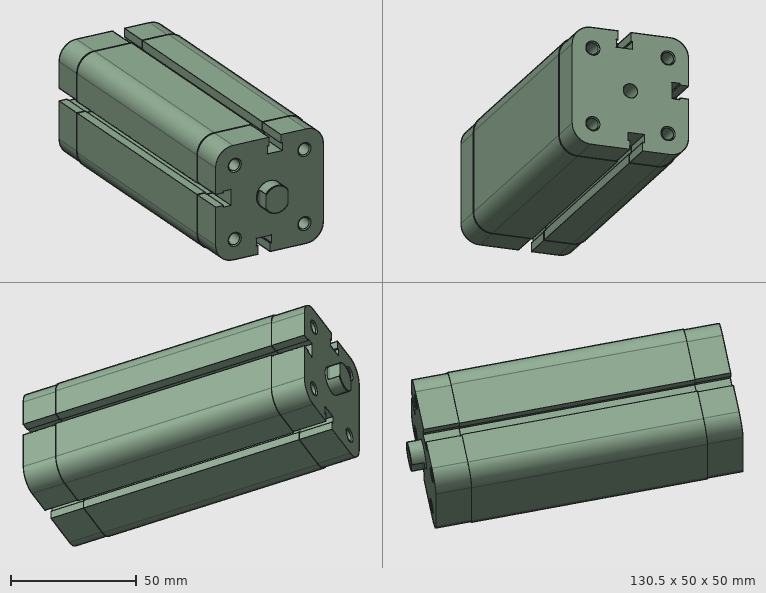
import cadquery as cq

TOTAL_LENGTH = 130.5
ROD_PROTRUSION = 6.0
CAP_LENGTH = 14.5
BARREL_WIDTH = 50.0
CAP_INSET = 0.25
CORNER_RADIUS = 8.0

SLOT_OFFSET = 2.5
SLOT_MOUTH_WIDTH = 5.0
SLOT_INNER_WIDTH = 6.4
SLOT_LIP_DEPTH = 3.9
SLOT_DEPTH = 7.0
CAP_SLOT_CLEARANCE = 0.25
SLOT_TURNS = (0, 90, 180)

SCREW_SPACING = 32.0
SCREW_HOLE_DIAMETER = 5.0
SCREW_HOLE_CHAMFER = 0.5
REAR_HOLE_DIAMETER = 6.0

ROD_DIAMETER = 12.0
ROD_ACROSS_FLATS = 10.0
ROD_CHAMFER = 0.3
COLLAR_LENGTH = 0.8
FLAT_FILLET = 0.4

BODY_LENGTH = TOTAL_LENGTH - ROD_PROTRUSION
BARREL_START = CAP_LENGTH
FRONT_CAP_START = BODY_LENGTH - CAP_LENGTH
BARREL_LENGTH = FRONT_CAP_START - BARREL_START
CAP_WIDTH = BARREL_WIDTH - 2 * CAP_INSET


def end_plane(x):
    """Sketch plane facing +X at the given X; its local axes are Y and Z."""
    return cq.Workplane("YZ", origin=(x, 0, 0))


def slot_cutter(x, length, clearance):
    """T-slot in the top side; the clearance widens it and lowers its floor."""
    top = BARREL_WIDTH / 2
    floor = top - SLOT_DEPTH - clearance
    lip = top - SLOT_LIP_DEPTH
    mouth_half = SLOT_MOUTH_WIDTH / 2 + clearance
    inner_half = SLOT_INNER_WIDTH / 2 + clearance
    outline = [
        (SLOT_OFFSET - mouth_half, top),
        (SLOT_OFFSET - mouth_half, lip),
        (SLOT_OFFSET - inner_half, lip),
        (SLOT_OFFSET - inner_half, floor),
        (SLOT_OFFSET + inner_half, floor),
        (SLOT_OFFSET + inner_half, lip),
        (SLOT_OFFSET + mouth_half, lip),
        (SLOT_OFFSET + mouth_half, top),
    ]
    return end_plane(x).polyline(outline).close().extrude(length)


def slotted_block(x, length, width, clearance):
    """Rounded square block with the T-slots and the four screw holes."""
    block = end_plane(x).rect(width, width).extrude(length).edges("|X").fillet(CORNER_RADIUS)
    cutter = slot_cutter(x, length, clearance)
    for turn in SLOT_TURNS:
        block = block.cut(cutter.rotate((0, 0, 0), (1, 0, 0), turn))
    screw_holes = (
        end_plane(x)
        .rect(SCREW_SPACING, SCREW_SPACING, forConstruction=True)
        .vertices()
        .circle(SCREW_HOLE_DIAMETER / 2)
        .extrude(length)
    )
    return block.cut(screw_holes)


def screw_hole_chamfers(x, outward):
    """Countersinks at the cap's outer face at x; outward is -1 or +1 along X."""
    mouth_radius = SCREW_HOLE_DIAMETER / 2 + SCREW_HOLE_CHAMFER
    half_spacing = SCREW_SPACING / 2
    cones = cq.Workplane()
    for y in (-half_spacing, half_spacing):
        for z in (-half_spacing, half_spacing):
            cone = cq.Solid.makeCone(
                mouth_radius,
                mouth_radius - SCREW_HOLE_CHAMFER,
                SCREW_HOLE_CHAMFER,
                pnt=cq.Vector(x, y, z),
                dir=cq.Vector(-outward, 0, 0),
            )
            cones = cones.add(cone)
    return cones.combine()


def make_barrel():
    """Profiled barrel between the two caps."""
    return slotted_block(BARREL_START, BARREL_LENGTH, BARREL_WIDTH, 0)


def make_rear_cap():
    """Rear cap with a central hole that ends at the barrel."""
    cap = slotted_block(0, CAP_LENGTH, CAP_WIDTH, CAP_SLOT_CLEARANCE)
    cap = cap.cut(screw_hole_chamfers(0, -1))
    return cap.cut(end_plane(0).circle(REAR_HOLE_DIAMETER / 2).extrude(CAP_LENGTH))


def make_front_cap():
    """Front cap with a central bore for the rod."""
    cap = slotted_block(FRONT_CAP_START, CAP_LENGTH, CAP_WIDTH, CAP_SLOT_CLEARANCE)
    cap = cap.cut(screw_hole_chamfers(BODY_LENGTH, 1))
    return cap.cut(end_plane(FRONT_CAP_START).circle(ROD_DIAMETER / 2).extrude(CAP_LENGTH))


def make_rod():
    """Rod from the barrel face out through the front cap, with flats on its -Y and +Y sides."""
    rod = end_plane(FRONT_CAP_START).circle(ROD_DIAMETER / 2).extrude(TOTAL_LENGTH - FRONT_CAP_START)
    rod = rod.faces(">X").chamfer(ROD_CHAMFER)
    flats_start = BODY_LENGTH + COLLAR_LENGTH
    for side in (-1, 1):
        cutter = (
            cq.Workplane("XY")
            .box(TOTAL_LENGTH - flats_start, ROD_DIAMETER, ROD_DIAMETER, centered=(False, True, True))
            .edges("<X and |Z")
            .edges("<Y" if side > 0 else ">Y")
            .fillet(FLAT_FILLET)
            .translate((flats_start, side * (ROD_ACROSS_FLATS + ROD_DIAMETER) / 2, 0))
        )
        rod = rod.cut(cutter)
    return rod


barrel = make_barrel()
rear_cap = make_rear_cap()
front_cap = make_front_cap()
rod = make_rod()

result = cq.Compound.makeCompound([barrel.val(), rear_cap.val(), front_cap.val(), rod.val()])